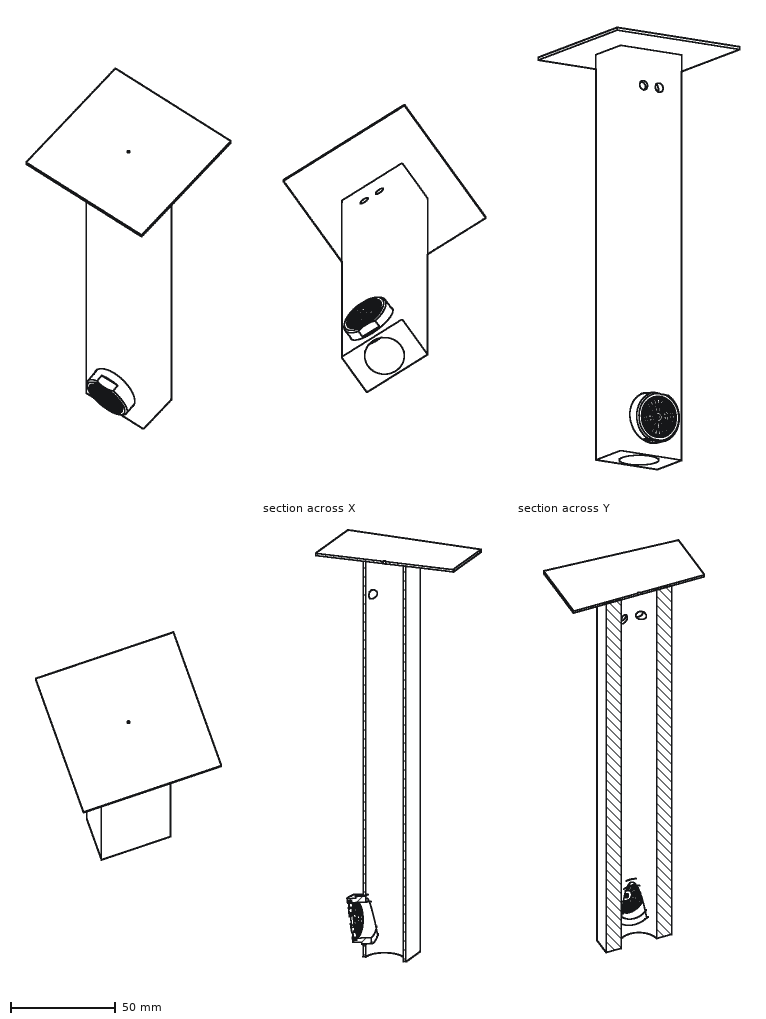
import cadquery as cq

TOTAL_HEIGHT = 201.5
TURN_ANGLE = -4.2

PLATE_SIDE = 70.0
PLATE_THICKNESS = 1.5
VENT_DIAMETER = 1.0

POST_WIDTH = 35.0
POST_DEPTH = 22.0
POST_HEIGHT = TOTAL_HEIGHT - PLATE_THICKNESS
POST_FRONT_ROUND = 0.6
BORE_RADIUS = 9.5
SIDE_HOLE_RADIUS = 2.2
SIDE_HOLE_SPACING = 8.9
SIDE_HOLE_DROP = 18.0

OUTLET_HEIGHT = 18.5
OUTLET_TILT = 8.0
OUTLET_RADIUS = 12.0
OUTLET_REACH = 6.6
OUTLET_CHAMFER = 0.8
POCKET_CLEARANCE = 0.2
POCKET_DEPTH = 3.0
PASSAGE_RADIUS = 8.9

FLAT_DISTANCE = 11.0
FLAT_LENGTH = 4.5

FRAME_RADIUS = 9.9
FRAME_THICKNESS = 2.0

GRID_RADIUS = 9.3
GRID_BACK = OUTLET_REACH - FRAME_THICKNESS
HUB_HOLE_RADIUS = 1.0
HUB_RECESS_RADIUS = 2.2
HUB_RECESS_DEPTH = 0.5
RIB_WIDTH = 0.6
INNER_SLOT_COUNT = 12
INNER_SLOT_RADII = (2.8, 5.6)
OUTER_SLOT_COUNT = 2 * INNER_SLOT_COUNT
OUTER_SLOT_RADII = (6.2, 8.7)


def outlet_cylinder(radius, back, front):
    """Cylinder on the outlet axis, before tilting; distances count outward from the post."""
    return cq.Workplane("XZ").workplane(offset=back).circle(radius).extrude(front - back)


def place_outlet(body):
    """Tilts a body made on the outlet axis and moves it to the front of the post."""
    tilted = body.rotate((0, 0, 0), (1, 0, 0), OUTLET_TILT)
    return tilted.translate((0, -POST_DEPTH / 2, OUTLET_HEIGHT))


def make_plate():
    base = cq.Workplane("XY").workplane(offset=POST_HEIGHT)
    return base.rect(PLATE_SIDE, PLATE_SIDE).circle(VENT_DIAMETER / 2).extrude(PLATE_THICKNESS)


def make_post():
    post = cq.Workplane("XY").box(POST_WIDTH, POST_DEPTH, POST_HEIGHT, centered=(True, True, False))
    post = post.edges("|Z and <Y").fillet(POST_FRONT_ROUND)
    bore = cq.Workplane("XY").circle(BORE_RADIUS).extrude(POST_HEIGHT)

    side_holes = (
        cq.Workplane("XZ", origin=(0, 0, POST_HEIGHT - SIDE_HOLE_DROP))
        .rarray(SIDE_HOLE_SPACING, 2, 2, 1)
        .circle(SIDE_HOLE_RADIUS)
        .extrude(POST_DEPTH)
    )
    pocket = outlet_cylinder(OUTLET_RADIUS + POCKET_CLEARANCE, -POCKET_DEPTH, OUTLET_REACH)
    return post.cut(bore).cut(side_holes).cut(place_outlet(pocket))


def flat_cutter():
    """Ring around the front of the shell with a slot as tall as the flats are apart."""
    back = OUTLET_REACH - FLAT_LENGTH
    ring = outlet_cylinder(2 * OUTLET_RADIUS, back, OUTLET_REACH)
    kept = cq.Workplane("XZ").workplane(offset=back).rect(4 * OUTLET_RADIUS, 2 * FLAT_DISTANCE)
    return ring.cut(kept.extrude(FLAT_LENGTH))


def make_shell():
    shell = outlet_cylinder(OUTLET_RADIUS, -POCKET_DEPTH, OUTLET_REACH)
    shell = shell.faces("<Y").edges().chamfer(OUTLET_CHAMFER)
    shell = shell.cut(outlet_cylinder(PASSAGE_RADIUS, -POCKET_DEPTH, OUTLET_REACH))
    shell = shell.cut(outlet_cylinder(FRAME_RADIUS, GRID_BACK, OUTLET_REACH))
    return place_outlet(shell.cut(flat_cutter()))


def make_frame():
    frame = outlet_cylinder(FRAME_RADIUS, GRID_BACK, OUTLET_REACH)
    return place_outlet(frame.cut(outlet_cylinder(GRID_RADIUS, GRID_BACK, OUTLET_REACH)))


def slot_ring(radii, count, first_rib_angle):
    """Ring of slots between two radii, parted by straight radial ribs."""
    inner, outer = radii
    ring = outlet_cylinder(outer, GRID_BACK, OUTLET_REACH)
    ring = ring.cut(outlet_cylinder(inner, GRID_BACK, OUTLET_REACH))
    rib = cq.Workplane("XY").box(RIB_WIDTH, FRAME_THICKNESS, outer)
    rib = rib.translate((0, FRAME_THICKNESS / 2 - OUTLET_REACH, (outer + inner) / 2))
    for index in range(count):
        ring = ring.cut(rib.rotate((0, 0, 0), (0, 1, 0), first_rib_angle + index * 360 / count))
    return ring


def make_grid():
    grid = outlet_cylinder(GRID_RADIUS, GRID_BACK, OUTLET_REACH)
    grid = grid.cut(outlet_cylinder(HUB_HOLE_RADIUS, GRID_BACK, OUTLET_REACH))
    grid = grid.cut(outlet_cylinder(HUB_RECESS_RADIUS, OUTLET_REACH - HUB_RECESS_DEPTH, OUTLET_REACH))
    grid = grid.cut(slot_ring(INNER_SLOT_RADII, INNER_SLOT_COUNT, 180 / INNER_SLOT_COUNT))
    grid = grid.cut(slot_ring(OUTER_SLOT_RADII, OUTER_SLOT_COUNT, 0))
    return place_outlet(grid)


def turn(body):
    return body.rotate((0, 0, 0), (0, 0, 1), TURN_ANGLE)


plate = turn(make_plate())
post = turn(make_post())
outlet_shell = turn(make_shell())
outlet_frame = turn(make_frame())
outlet_grid = turn(make_grid())

result = cq.Compound.makeCompound(
    [plate.val(), post.val(), outlet_shell.val(), outlet_frame.val(), outlet_grid.val()]
)